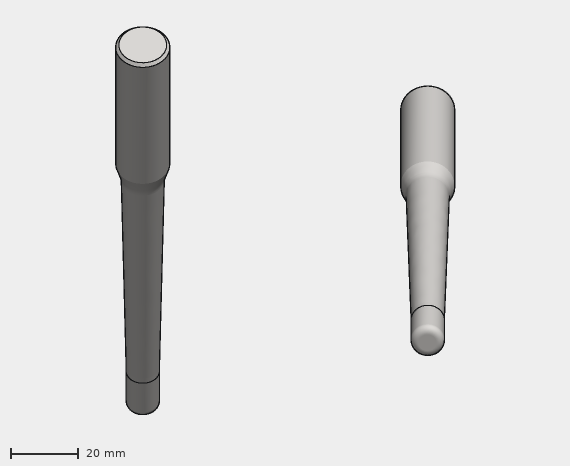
import cadquery as cq

total_length = 160.0
shank_radius = 8.0
shank_chamfer = 1.0

shank_bottom = 107.2
shoulder_bottom = 102.4
neck_top = 100.2
neck_bottom = 17.3
head_top = 15.4

shoulder_radius = 6.7
neck_top_radius = 6.4
head_radius = 5.0
tip_round = 2.2


def revolve_about_z(profile):
    """Turn a closed (radius, height) profile into a solid of revolution."""
    return profile.close().revolve(360, (0, 0, 0), (0, 1, 0))


def make_holder():
    """Chamfered shank and conical shoulder, blended by an arc into a long tapered neck."""
    profile = (
        cq.Workplane("XZ")
        .moveTo(0, head_top)
        .lineTo(head_radius, head_top)
        .lineTo(head_radius, neck_bottom)
        .lineTo(neck_top_radius, neck_top)
        .tangentArcPoint((shoulder_radius, shoulder_bottom), relative=False)
        .lineTo(shank_radius, shank_bottom)
        .lineTo(shank_radius, total_length - shank_chamfer)
        .lineTo(shank_radius - shank_chamfer, total_length)
        .lineTo(0, total_length)
    )
    return revolve_about_z(profile)


def make_head():
    """Cylindrical cutting head with a rounded tip, butted against the holder."""
    profile = (
        cq.Workplane("XZ")
        .moveTo(0, 0)
        .lineTo(head_radius - tip_round, 0)
        .tangentArcPoint((head_radius, tip_round), relative=False)
        .lineTo(head_radius, head_top)
        .lineTo(0, head_top)
    )
    return revolve_about_z(profile)


holder = make_holder()
head = make_head()
result = cq.Compound.makeCompound([holder.val(), head.val()])